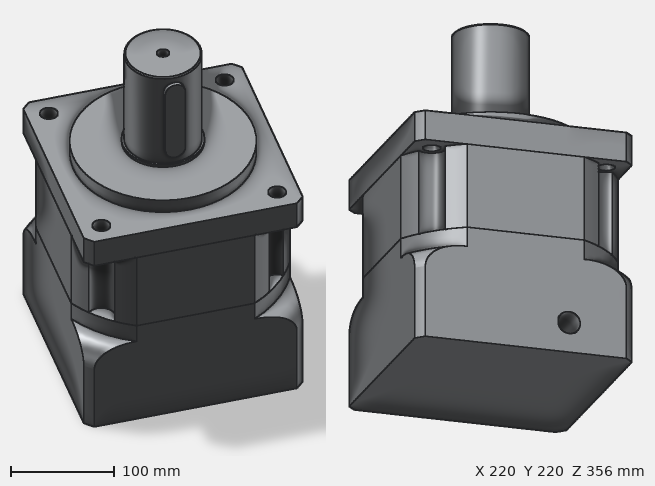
import cadquery as cq
import math

BODY_SIDE = 220.0
TOTAL_HEIGHT = 356.0
CORNER_RADIUS = 150.0
NECK_RADIUS = 125.0

BASE_TOP = 116.5
SHOULDER_TOP = 97.0
FLANGE_BOTTOM = 201.5
FLANGE_TOP = 231.5
PILOT_TOP = 246.5
COLLAR_TOP = 249.2

ACCESS_HOLE_DIAMETER = 22.5
ACCESS_HOLE_Y = -43.8
ACCESS_HOLE_Z = 30.3
HUB_RADIUS = 53.8

BOLT_SPACING = 176.5
BOLT_HOLE_DIAMETER = 17.5
BOLT_GROOVE_RADIUS = 14.2

PILOT_DIAMETER = 179.8
COLLAR_DIAMETER = 80.0
SHAFT_DIAMETER = 75.0
SHAFT_CHAMFER = 1.5
CENTER_HOLE_DIAMETER = 12.0
CENTER_HOLE_DEPTH = 35.5
DRILL_POINT_ANGLE = 118.0

KEY_WIDTH = 20.0
KEY_LENGTH = 90.0
KEY_OUTER_X = 41.5
KEY_BOTTOM = 258.8


def cylinder(diameter, bottom, top):
    """Upright cylinder on the part axis."""
    return cq.Workplane("XY").workplane(offset=bottom).circle(diameter / 2).extrude(top - bottom)


def trimmed_square(radius, bottom, top):
    """Square block whose corners are turned to a radius about the part axis."""
    height = top - bottom
    block = cq.Workplane("XY").workplane(offset=bottom).rect(BODY_SIDE, BODY_SIDE).extrude(height)
    return block.intersect(cylinder(2 * radius, bottom, top))


def at_bolts(radius, bottom, top):
    """Upright cylinders at the four bolt positions."""
    return (
        cq.Workplane("XY")
        .workplane(offset=bottom)
        .rect(BOLT_SPACING, BOLT_SPACING, forConstruction=True)
        .vertices()
        .circle(radius)
        .extrude(top - bottom)
    )


def make_base():
    """Square base with rounded-over corners and a side access hole."""
    round_over = CORNER_RADIUS - NECK_RADIUS
    round_start = SHOULDER_TOP - round_over
    arc_offset = round_over * math.sqrt(0.5)
    turned = (
        cq.Workplane("XZ")
        .moveTo(0, 0)
        .lineTo(CORNER_RADIUS, 0)
        .lineTo(CORNER_RADIUS, round_start)
        .threePointArc(
            (NECK_RADIUS + arc_offset, round_start + arc_offset),
            (NECK_RADIUS, SHOULDER_TOP),
        )
        .lineTo(NECK_RADIUS, BASE_TOP)
        .lineTo(0, BASE_TOP)
        .close()
        .revolve(360, (0, 0), (0, 1))
    )
    block = cq.Workplane("XY").rect(BODY_SIDE, BODY_SIDE).extrude(BASE_TOP)

    access_hole = (
        cq.Workplane("YZ")
        .workplane(offset=-BODY_SIDE / 2)
        .center(ACCESS_HOLE_Y, ACCESS_HOLE_Z)
        .circle(ACCESS_HOLE_DIAMETER / 2)
        .extrude(BODY_SIDE / 2)
        .cut(cylinder(2 * HUB_RADIUS, 0, BASE_TOP))
    )
    return block.intersect(turned).cut(access_hole)


def make_neck():
    """Middle housing with a bolt groove in each turned corner."""
    neck = trimmed_square(NECK_RADIUS, BASE_TOP, FLANGE_BOTTOM)
    return neck.cut(at_bolts(BOLT_GROOVE_RADIUS, BASE_TOP, FLANGE_BOTTOM))


def key_shape():
    """Round-ended parallel key on the +X side, reaching from the part axis past the shaft surface."""
    return (
        cq.Workplane("YZ")
        .center(0, KEY_BOTTOM + KEY_LENGTH / 2)
        .slot2D(KEY_LENGTH, KEY_WIDTH, 90)
        .extrude(KEY_OUTER_X)
    )


def center_hole():
    """Blind drilled hole in the shaft end, with a conical bottom."""
    radius = CENTER_HOLE_DIAMETER / 2
    cone_top = TOTAL_HEIGHT - CENTER_HOLE_DEPTH
    point_depth = radius / math.tan(math.radians(DRILL_POINT_ANGLE / 2))
    return (
        cq.Workplane("XZ")
        .moveTo(0, TOTAL_HEIGHT)
        .lineTo(radius, TOTAL_HEIGHT)
        .lineTo(radius, cone_top)
        .lineTo(0, cone_top - point_depth)
        .close()
        .revolve(360, (0, 0), (0, 1))
    )


def make_output():
    """Mounting flange carrying the pilot, collar and keyed output shaft."""
    flange = trimmed_square(CORNER_RADIUS, FLANGE_BOTTOM, FLANGE_TOP)
    flange = flange.cut(at_bolts(BOLT_HOLE_DIAMETER / 2, FLANGE_BOTTOM, FLANGE_TOP))

    pilot = cylinder(PILOT_DIAMETER, FLANGE_TOP, PILOT_TOP)
    collar = cylinder(COLLAR_DIAMETER, PILOT_TOP, COLLAR_TOP)
    shaft = cylinder(SHAFT_DIAMETER, COLLAR_TOP, TOTAL_HEIGHT).faces(">Z").chamfer(SHAFT_CHAMFER)

    output = flange.union(pilot).union(collar).union(shaft).union(key_shape())
    return output.cut(center_hole())


base = make_base()
neck = make_neck()
output = make_output()

result = cq.Compound.makeCompound([base.val(), neck.val(), output.val()])